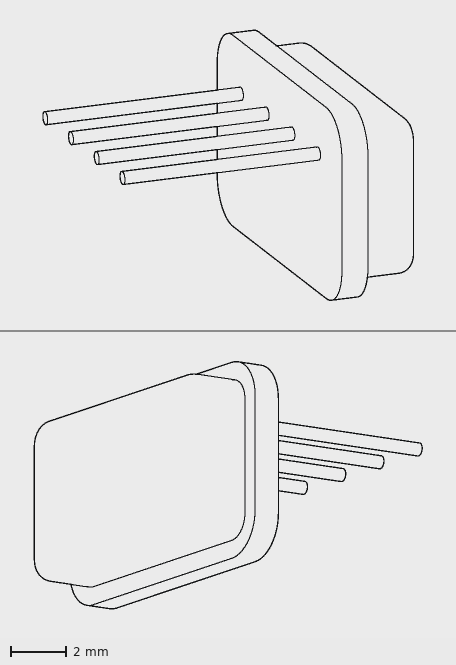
import cadquery as cq

width = 12.12
depth = 10.87
height = 7.28

flange_thickness = 1.02
flange_corner_radius = 1.53

cap_inset = 0.67
cap_depth = 2.22
cap_edge_fillet = 0.51
cap_corner_radius = flange_corner_radius - cap_inset

pin_count = 4
pin_diameter = 0.48
pin_pitch = 2.5
pin_row_height = 1.65
pin_length = depth - flange_thickness - cap_depth


def rounded_plate(size_x, size_z, thickness, corner_radius):
    """Plate centred on the Y axis, from Y = 0 to Y = thickness."""
    plate = cq.Workplane("XY").box(size_x, thickness, size_z, centered=(True, False, True))
    return plate.edges("|Y").fillet(corner_radius)


def make_cap():
    """Cap with a rounded rear rim, standing on the rear face of the flange."""
    cap = rounded_plate(width - 2 * cap_inset, height - 2 * cap_inset, cap_depth, cap_corner_radius)
    return cap.faces(">Y").edges().fillet(cap_edge_fillet).translate((0, flange_thickness, 0))


def make_pins():
    """Row of round pins pointing toward -Y from the front face of the flange."""
    return (
        cq.Workplane("XZ", origin=(0, 0, pin_row_height))
        .rarray(pin_pitch, 0.12, pin_count, 1)
        .circle(pin_diameter / 2)
        .extrude(pin_length)
    )


flange = rounded_plate(width, height, flange_thickness, flange_corner_radius)
result = flange.union(make_cap()).union(make_pins())